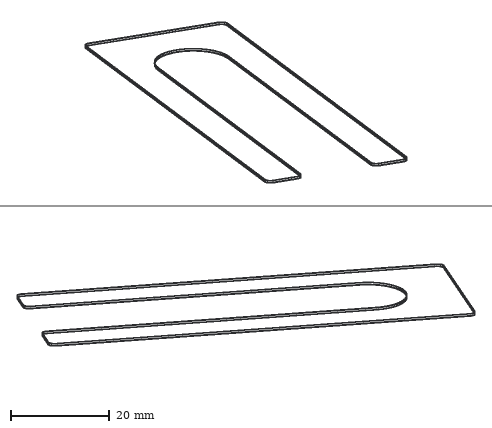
import cadquery as cq

length = 88.9
width = 31.7
thickness = 0.5
corner_radius = 1.25

slot_width = 15.8
slot_radius = slot_width / 2
base_width = 11.1

closed_end_x = -length / 2
open_end_x = length / 2
slot_bottom_x = closed_end_x + base_width
slot_centre_x = slot_bottom_x + slot_radius


def make_plate():
    """Flat rectangular plate centred on the origin."""
    return cq.Workplane("XY").box(length, width, thickness)


def make_slot():
    """Round-bottomed slot running out through the +X end."""
    return (
        cq.Workplane("XY")
        .moveTo(open_end_x, slot_radius)
        .lineTo(slot_centre_x, slot_radius)
        .threePointArc((slot_bottom_x, 0), (slot_centre_x, -slot_radius))
        .lineTo(open_end_x, -slot_radius)
        .close()
        .extrude(thickness, both=True)
    )


def round_corners(shim):
    """Round the two closed-end corners and all four prong corners."""
    closed_end = shim.faces("<X").edges("|Z").fillet(corner_radius)
    return closed_end.faces(">X").edges("|Z").fillet(corner_radius)


result = round_corners(make_plate().cut(make_slot()))